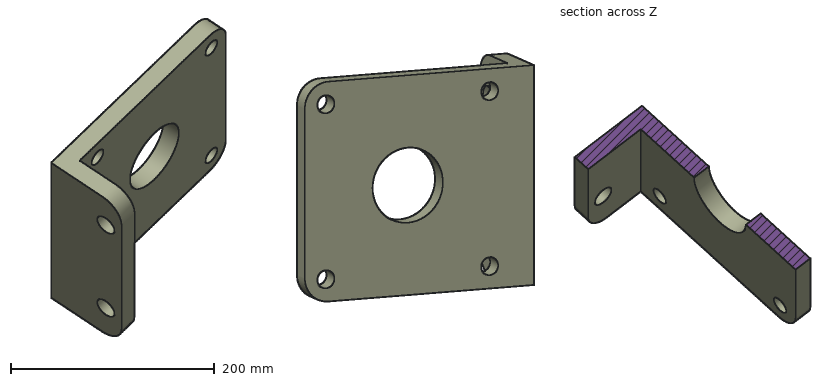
import cadquery as cq

foot_width = 90.0
plate_length = 245.0
height = 220.0
thickness = 20.0
corner_radius = 25.0

bore_diameter = 75.0
plate_hole_diameter = 18.0
plate_hole_spacing = 175.0
bore_y = plate_length - height / 2
mid_z = height / 2

foot_hole_diameter = 22.0
foot_hole_spacing = 135.0
foot_hole_edge_distance = 20.0
foot_hole_x = foot_width - foot_hole_edge_distance


def cylinder_along_x(diameter, y, z):
    """Cutter that passes through the large plate."""
    return cq.Workplane("YZ").center(y, z).circle(diameter / 2).extrude(thickness)


def cylinder_along_y(diameter, x, z):
    """Cutter that passes through the foot."""
    cutter = cq.Workplane("XZ").center(x, z).circle(diameter / 2)
    return cutter.extrude(-thickness)


def make_large_plate():
    plate = cq.Workplane("XY").box(thickness, plate_length, height, centered=False)
    plate = plate.faces(">Y").edges("|X").fillet(corner_radius)
    plate = plate.cut(cylinder_along_x(bore_diameter, bore_y, mid_z))
    for y_side in (-1, 1):
        for z_side in (-1, 1):
            y = bore_y + y_side * plate_hole_spacing / 2
            z = mid_z + z_side * plate_hole_spacing / 2
            plate = plate.cut(cylinder_along_x(plate_hole_diameter, y, z))
    return plate


def make_foot():
    foot = cq.Workplane("XY").box(foot_width, thickness, height, centered=False)
    foot = foot.faces(">X").edges("|Y").fillet(corner_radius)
    for z_side in (-1, 1):
        z = mid_z + z_side * foot_hole_spacing / 2
        foot = foot.cut(cylinder_along_y(foot_hole_diameter, foot_hole_x, z))
    return foot


result = make_large_plate().union(make_foot()).clean()